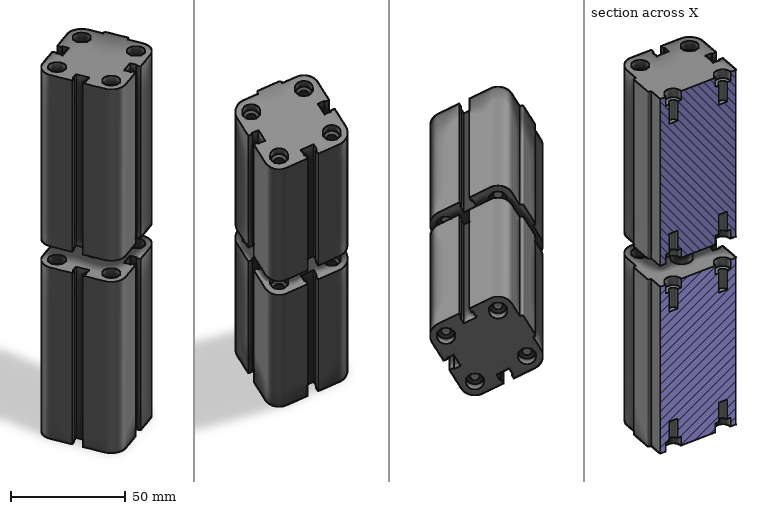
import cadquery as cq

TOTAL_LENGTH = 190.0
ROD_GAP = 11.0
ROD_DIAMETER = 10.0
HOUSING_LENGTH = (TOTAL_LENGTH - ROD_GAP) / 2

OVERALL_DEPTH = 41.5
TAB_HEIGHT = 1.42
TAB_WIDTH = 12.0
TAB_CORNER_RADIUS = 1.0
WIDTH = OVERALL_DEPTH - TAB_HEIGHT
HALF_WIDTH = WIDTH / 2
HOLE_SPACING = 26.0
CORNER_RADIUS = (WIDTH - HOLE_SPACING) / 2

SLOT_OPENING = 5.1
SLOT_INNER_WIDTH = 6.3
SLOT_LIP = 2.0
SLOT_DEPTH = 5.3

COUNTERBORE_DIAMETER = 8.0
COUNTERBORE_DEPTH = 4.8
HOLE_DIAMETER = 4.2
HOLE_DEPTH = 15.2


def make_blank():
    """Rounded square bar with its base on Z = 0."""
    return (
        cq.Workplane("XY")
        .rect(WIDTH, WIDTH)
        .extrude(HOUSING_LENGTH)
        .edges("|Z")
        .fillet(CORNER_RADIUS)
    )


def make_tab():
    """Low rib running the full length of the +Y face, with its outer edges rounded."""
    return (
        cq.Workplane("XY")
        .center(0, HALF_WIDTH)
        .rect(TAB_WIDTH, 2 * TAB_HEIGHT)
        .extrude(HOUSING_LENGTH)
        .edges("|Z and >Y")
        .fillet(TAB_CORNER_RADIUS)
    )


def make_slot(angle):
    """Cutter for a T-slot in the -Y face, turned about Z by the given angle."""
    lip_y = SLOT_LIP - HALF_WIDTH
    floor_y = SLOT_DEPTH - HALF_WIDTH
    return (
        cq.Workplane("XY")
        .moveTo(-SLOT_OPENING / 2, -HALF_WIDTH)
        .lineTo(-SLOT_OPENING / 2, lip_y)
        .lineTo(-SLOT_INNER_WIDTH / 2, lip_y)
        .lineTo(-SLOT_INNER_WIDTH / 2, floor_y)
        .lineTo(SLOT_INNER_WIDTH / 2, floor_y)
        .lineTo(SLOT_INNER_WIDTH / 2, lip_y)
        .lineTo(SLOT_OPENING / 2, lip_y)
        .lineTo(SLOT_OPENING / 2, -HALF_WIDTH)
        .close()
        .extrude(HOUSING_LENGTH)
        .rotate((0, 0, 0), (0, 0, 1), angle)
    )


def cut_mounting_holes(body, end_face):
    """Cut the four counterbored blind holes into the end selected by end_face."""
    return (
        body.faces(end_face)
        .workplane(origin=(0, 0, 0))
        .rect(HOLE_SPACING, HOLE_SPACING, forConstruction=True)
        .vertices()
        .cboreHole(HOLE_DIAMETER, COUNTERBORE_DIAMETER, COUNTERBORE_DEPTH, HOLE_DEPTH)
    )


def make_housing(base_z):
    """One cylinder housing standing on the height base_z."""
    body = make_blank().union(make_tab())
    for angle in (-90, 0, 90):
        body = body.cut(make_slot(angle))
    for end_face in (">Z", "<Z"):
        body = cut_mounting_holes(body, end_face)
    return body.translate((0, 0, base_z))


def make_rod():
    """Plain rod spanning the gap between the facing ends of the housings."""
    return (
        cq.Workplane("XY")
        .workplane(offset=HOUSING_LENGTH)
        .circle(ROD_DIAMETER / 2)
        .extrude(ROD_GAP)
    )


housings = [make_housing(base_z) for base_z in (0, HOUSING_LENGTH + ROD_GAP)]
rod = make_rod()

result = cq.Compound.makeCompound([*(housing.val() for housing in housings), rod.val()])